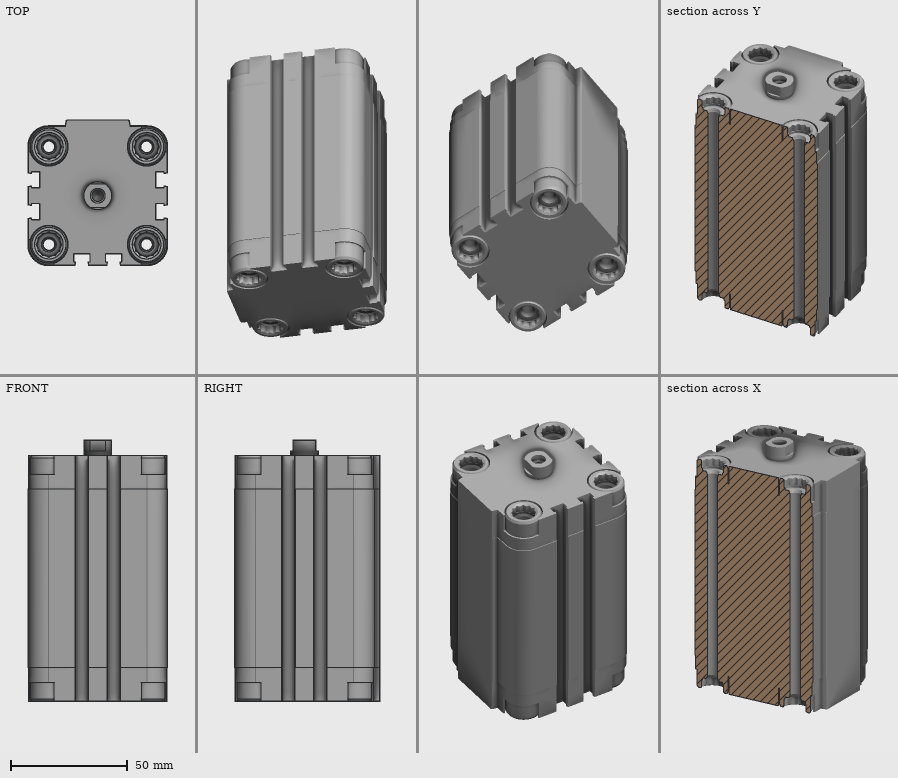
import cadquery as cq
import math


TOTAL_HEIGHT = 112.0
ROD_PROTRUSION = 6.5
HOUSING_HEIGHT = TOTAL_HEIGHT - ROD_PROTRUSION
CAP_HEIGHT = 14.5

BARREL_WIDTH = 60.0
CAP_INSET = 0.3
CORNER_RADIUS = 9.0
BOLT_OFFSET = 21.0
HALF_WIDTH = BARREL_WIDTH / 2
CAP_HALF_WIDTH = HALF_WIDTH - CAP_INSET

PAD_FACE_Y = 32.5
PAD_FACE_HALF_WIDTH = 13.5
PAD_BASE_HALF_WIDTH = 14.0
PAD_EDGE_CHAMFER = 0.3
PAD_CAP_INSET = 0.1

SLOT_OFFSET = 6.8
SLOT_THROAT_WIDTH = 5.3
SLOT_INNER_WIDTH = 6.8
SLOT_DEPTH = 5.0
SLOT_LIP = 1.7
SLOT_MOUTH_FLARE = 0.3

BOSS_DIAMETER = 16.0
BOSS_RECESS_DIAMETER = 16.5
BOSS_HEIGHT = 8.2
BOSS_CHAMFER_HEIGHT = 1.1
BOSS_CHAMFER_WIDTH = 0.7
CORNER_NOTCH_INSET = 2.2

SOCKET_MOUTH_DIAMETER = 12.3
SOCKET_DIAMETER = 10.1
STAR_VALLEY_DIAMETER = 9.9
SOCKET_POINTS = 12
SOCKET_CHAMFER_DEPTH = 0.8
STAR_DEPTH = 3.8
SOCKET_DEPTH = 4.8
BOLT_HOLE_DIAMETER = 4.9
BOLT_HOLE_MOUTH_DIAMETER = 6.4
BOLT_HOLE_TAPER_DEPTH = 1.5

ROD_DIAMETER = 12.0
ROD_FLATS_WIDTH = 10.0
ROD_FLATS_HEIGHT = 4.6
ROD_BORE_DIAMETER = 6.4
ROD_BORE_DEPTH = 2.8
ROD_BORE_TAPER_DEPTH = 0.6
ROD_DRILL_DIAMETER = 4.9
ROD_DRILL_DEPTH = 11.2
DRILL_POINT_ANGLE = 118.0

AXIS = cq.Vector(0, 0, 1)


def rounded_prism(half_width, bottom, height):
    """Square prism whose corner arcs share the centers of the barrel corners."""
    return (
        cq.Workplane("XY")
        .workplane(offset=bottom)
        .rect(2 * half_width, 2 * half_width)
        .extrude(height)
        .edges("|Z")
        .fillet(CORNER_RADIUS - (HALF_WIDTH - half_width))
    )


def mounting_pad(inset, bottom, height):
    """Stretch of the +Y pad, with slightly sloping sides that are moved in by the inset."""
    face_half_width = PAD_FACE_HALF_WIDTH - inset
    base_half_width = PAD_BASE_HALF_WIDTH - inset
    right_side = [
        (base_half_width, 0),
        (base_half_width, CAP_HALF_WIDTH),
        (face_half_width, PAD_FACE_Y - PAD_EDGE_CHAMFER),
        (face_half_width - PAD_EDGE_CHAMFER, PAD_FACE_Y),
    ]
    left_side = [(-x, y) for x, y in reversed(right_side)]
    return (
        cq.Workplane("XY").workplane(offset=bottom).polyline(right_side + left_side).close().extrude(height)
    )


def slot():
    """Cutter for one undercut slot of the -Y side, open at both ends."""
    throat = SLOT_THROAT_WIDTH / 2
    inner = SLOT_INNER_WIDTH / 2
    lip_y = -HALF_WIDTH + SLOT_LIP
    floor_y = -HALF_WIDTH + SLOT_DEPTH
    right_side = [
        (throat + SLOT_MOUTH_FLARE, -HALF_WIDTH),
        (throat, lip_y),
        (inner, lip_y),
        (inner, floor_y),
    ]
    left_side = [(-x, y) for x, y in reversed(right_side)]
    return cq.Workplane("XY").polyline(right_side + left_side).close().extrude(HOUSING_HEIGHT)


def revolved(profile):
    """Solid of revolution about Z from (radius, height) points."""
    return cq.Workplane("XZ").polyline(profile).close().revolve(360, (0, 0, 0), (0, 1, 0))


def corner_notch():
    """Cutter at the top of the +X +Y corner that leaves a round, chamfered boss."""
    boss_radius = BOSS_DIAMETER / 2
    notch_size = HALF_WIDTH - BOLT_OFFSET + CORNER_NOTCH_INSET
    notch = (
        cq.Workplane("XY")
        .workplane(offset=HOUSING_HEIGHT - BOSS_HEIGHT)
        .center(BOLT_OFFSET - CORNER_NOTCH_INSET, BOLT_OFFSET - CORNER_NOTCH_INSET)
        .rect(notch_size, notch_size, centered=False)
        .extrude(BOSS_HEIGHT)
        .union(
            cq.Workplane("XY", origin=(BOLT_OFFSET, BOLT_OFFSET, HOUSING_HEIGHT - BOSS_HEIGHT))
            .circle(BOSS_RECESS_DIAMETER / 2)
            .extrude(BOSS_HEIGHT)
        )
    )
    chamfer_start = HOUSING_HEIGHT - BOSS_CHAMFER_HEIGHT
    boss = revolved([
        (0, HOUSING_HEIGHT - BOSS_HEIGHT),
        (boss_radius, HOUSING_HEIGHT - BOSS_HEIGHT),
        (boss_radius, chamfer_start),
        (boss_radius - BOSS_CHAMFER_WIDTH, HOUSING_HEIGHT),
        (0, HOUSING_HEIGHT),
    ])
    return notch.cut(boss.translate((BOLT_OFFSET, BOLT_OFFSET, 0)))


def star_points(valley_radius):
    """Corners of a twelve-point star made of two overlapping hexagons."""
    half_pitch = math.pi / SOCKET_POINTS
    tip_radius = valley_radius * math.cos(half_pitch) / math.cos(2 * half_pitch)
    corners = []
    for step in range(2 * SOCKET_POINTS):
        radius = tip_radius if step % 2 == 0 else valley_radius
        corners.append((radius * math.cos(step * half_pitch), radius * math.sin(step * half_pitch)))
    return corners


def bolt_socket():
    """Cutter for the socket and the upper half of the bolt hole of the +X +Y corner."""
    socket_radius = SOCKET_DIAMETER / 2
    floor = HOUSING_HEIGHT - SOCKET_DEPTH
    round_part = revolved([
        (0, HOUSING_HEIGHT / 2),
        (BOLT_HOLE_DIAMETER / 2, HOUSING_HEIGHT / 2),
        (BOLT_HOLE_DIAMETER / 2, floor - BOLT_HOLE_TAPER_DEPTH),
        (BOLT_HOLE_MOUTH_DIAMETER / 2, floor),
        (socket_radius, floor),
        (socket_radius, HOUSING_HEIGHT - STAR_DEPTH),
        (STAR_VALLEY_DIAMETER / 2, HOUSING_HEIGHT - STAR_DEPTH),
        (STAR_VALLEY_DIAMETER / 2, HOUSING_HEIGHT - SOCKET_CHAMFER_DEPTH),
        (SOCKET_MOUTH_DIAMETER / 2, HOUSING_HEIGHT),
        (0, HOUSING_HEIGHT),
    ])
    star = (
        cq.Workplane("XY")
        .workplane(offset=HOUSING_HEIGHT - STAR_DEPTH)
        .polyline(star_points(STAR_VALLEY_DIAMETER / 2))
        .close()
        .extrude(STAR_DEPTH)
    )
    return round_part.union(star).translate((BOLT_OFFSET, BOLT_OFFSET, 0))


def make_housing():
    """Barrel and both caps in one piece, with slots, bosses, sockets and the rod seat."""
    barrel_height = HOUSING_HEIGHT - 2 * CAP_HEIGHT
    housing = (
        rounded_prism(CAP_HALF_WIDTH, 0, HOUSING_HEIGHT)
        .union(mounting_pad(PAD_CAP_INSET, 0, HOUSING_HEIGHT))
        .union(rounded_prism(HALF_WIDTH, CAP_HEIGHT, barrel_height))
        .union(mounting_pad(0, CAP_HEIGHT, barrel_height))
    )
    for angle in (-90, 0, 90):
        for offset in (-SLOT_OFFSET, SLOT_OFFSET):
            housing = housing.cut(slot().translate((offset, 0, 0)).rotate((0, 0, 0), AXIS, angle))

    top_cutter = corner_notch().union(bolt_socket())
    bottom_cutter = top_cutter.mirror("XY").translate((0, 0, HOUSING_HEIGHT))
    for angle in (0, 90, 180, 270):
        for cutter in (top_cutter, bottom_cutter):
            housing = housing.cut(cutter.rotate((0, 0, 0), AXIS, angle))

    rod_seat = (
        cq.Workplane("XY")
        .workplane(offset=HOUSING_HEIGHT - CAP_HEIGHT)
        .circle(ROD_DIAMETER / 2)
        .extrude(CAP_HEIGHT)
    )
    return housing.cut(rod_seat)


def make_rod():
    """Rod end seated in the top cap, with two wrench flats and a stepped blind hole."""
    rod = (
        cq.Workplane("XY")
        .workplane(offset=HOUSING_HEIGHT - CAP_HEIGHT)
        .circle(ROD_DIAMETER / 2)
        .extrude(CAP_HEIGHT + ROD_PROTRUSION)
    )
    flat_cut_depth = (ROD_DIAMETER - ROD_FLATS_WIDTH) / 2
    flat_center_y = (ROD_FLATS_WIDTH + flat_cut_depth) / 2
    flats = (
        cq.Workplane("XY")
        .workplane(offset=TOTAL_HEIGHT - ROD_FLATS_HEIGHT)
        .pushPoints([(0, flat_center_y), (0, -flat_center_y)])
        .rect(ROD_DIAMETER, flat_cut_depth)
        .extrude(ROD_FLATS_HEIGHT)
    )
    drill_radius = ROD_DRILL_DIAMETER / 2
    drill_end = TOTAL_HEIGHT - ROD_DRILL_DEPTH
    drill_tip = drill_end - drill_radius / math.tan(math.radians(DRILL_POINT_ANGLE / 2))
    bore_end = TOTAL_HEIGHT - ROD_BORE_DEPTH
    hole = revolved([
        (0, drill_tip),
        (drill_radius, drill_end),
        (drill_radius, bore_end - ROD_BORE_TAPER_DEPTH),
        (ROD_BORE_DIAMETER / 2, bore_end),
        (ROD_BORE_DIAMETER / 2, TOTAL_HEIGHT),
        (0, TOTAL_HEIGHT),
    ])
    return rod.cut(flats).cut(hole)


housing = make_housing()
rod = make_rod()

result = cq.Compound.makeCompound([*housing.solids().vals(), *rod.solids().vals()])